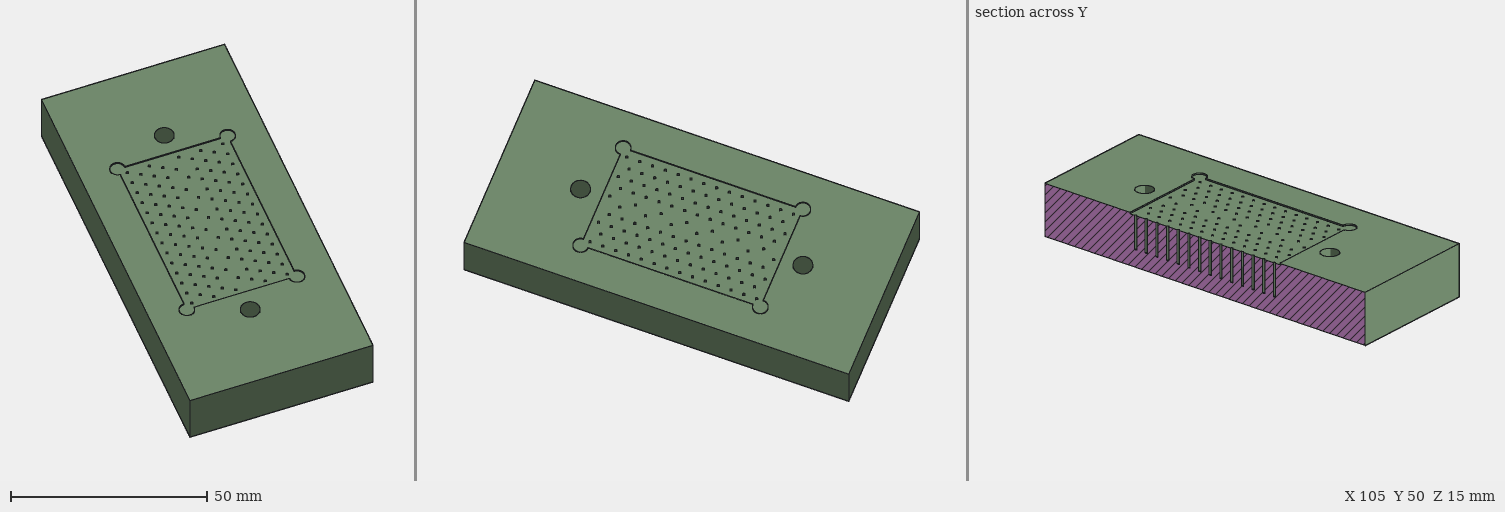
import cadquery as cq

length = 105.0
width = 50.0
height = 15.0

pocket_length = 49.0
pocket_width = 30.0
pocket_depth = 0.4
relief_diameter = 4.0

mount_diameter = 5.0
mount_spacing = 60.7

fine_diameter = 0.6
fine_hole_floor_z = 5.0
column_count = 14
column_span = 45.5
column_pitch = column_span / (column_count - 1)
rows_per_side = 5
inner_row_y = 1.0
outer_row_y = 13.0
row_pitch = (outer_row_y - inner_row_y) / (rows_per_side - 1)


def row_of_holes(y, count, pitch, center_x=0.0):
    """Centres of evenly spaced holes along X."""
    first_x = center_x - (count - 1) * pitch / 2
    return [(first_x + i * pitch, y) for i in range(count)]


def fine_hole_centers():
    """Centres of all fine holes on both sides of the long centreline."""
    centers = []
    sparse_count = column_count // 2
    for side in (1, -1):
        centers += row_of_holes(
            side * inner_row_y, sparse_count, 2 * column_pitch, -side * column_pitch / 2
        )
        for row in range(1, rows_per_side):
            count = column_count - row % 2
            y = side * (inner_row_y + row * row_pitch)
            centers += row_of_holes(y, count, column_pitch)
    return centers


def pocket():
    """Rectangular recess with a round relief centred on each corner."""
    floor = cq.Workplane("XY").workplane(offset=height - pocket_depth)
    recess = floor.rect(pocket_length, pocket_width).extrude(pocket_depth)
    reliefs = (
        floor.rect(pocket_length, pocket_width, forConstruction=True)
        .vertices()
        .circle(relief_diameter / 2)
        .extrude(pocket_depth)
    )
    return recess.union(reliefs)


def holes(centers, diameter, floor_z):
    """Vertical drillings from the top face down to floor_z."""
    floor = cq.Workplane("XY").workplane(offset=floor_z)
    return floor.pushPoints(centers).circle(diameter / 2).extrude(height - floor_z)


block = cq.Workplane("XY").box(length, width, height, centered=(True, True, False))
mount_centers = row_of_holes(0, 2, mount_spacing)

result = (
    block.cut(pocket())
    .cut(holes(mount_centers, mount_diameter, 0))
    .cut(holes(fine_hole_centers(), fine_diameter, fine_hole_floor_z))
)